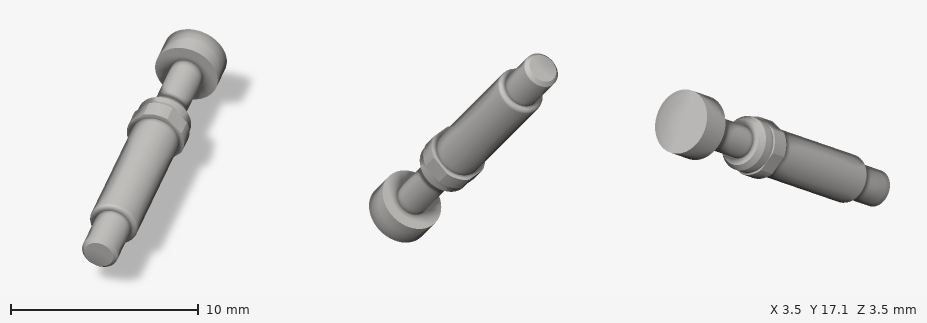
import cadquery as cq

total_length = 17.1

head_diameter = 3.5
neck_diameter = 1.8
collar_diameter = 2.98
hub_diameter = 3.2
body_diameter = 2.65
tip_diameter = 2.0

head_length = 1.6
neck_length = 3.52
collar_length = 0.97
hub_length = 1.0
body_length = 7.5

collar_chamfer_length = 0.35
collar_chamfer_depth = 0.22
body_fillet = 0.2
tip_chamfer = 0.2

hub_across_flats = 3.0
flat_angle = 45.0

head_shoulder = total_length - head_length
collar_top = head_shoulder - neck_length
hub_top = collar_top - collar_length
hub_bottom = hub_top - hub_length
body_bottom = hub_bottom - body_length


def cylinder(diameter, bottom, top):
    """Cylinder on the Y axis between two Y positions."""
    plane = cq.Workplane("XZ", origin=(0, top, 0))
    return plane.circle(diameter / 2).extrude(top - bottom)


def make_collar():
    """Collar with an uneven chamfer on its neck side."""
    blank = cylinder(collar_diameter, hub_top, collar_top)
    return blank.faces(">Y").chamfer(collar_chamfer_length, collar_chamfer_depth)


def make_hub():
    """Round hub trimmed by four flats at 45 degrees to the X and Z axes."""
    square_bar = (
        cq.Workplane("XZ", origin=(0, hub_top, 0))
        .transformed(rotate=(0, 0, flat_angle))
        .rect(hub_across_flats, hub_across_flats)
        .extrude(hub_length)
    )
    return cylinder(hub_diameter, hub_bottom, hub_top).intersect(square_bar)


def make_body():
    """Long barrel with a rounded edge towards the tip."""
    barrel = cylinder(body_diameter, body_bottom, hub_bottom)
    return barrel.faces("<Y").edges().fillet(body_fillet)


def make_tip():
    """Slim end pin with a chamfered end."""
    return cylinder(tip_diameter, 0, body_bottom).faces("<Y").edges().chamfer(tip_chamfer)


head = cylinder(head_diameter, head_shoulder, total_length)
neck = cylinder(neck_diameter, collar_top, head_shoulder)

result = head.union(neck).union(make_collar()).union(make_hub()).union(make_body()).union(make_tip())